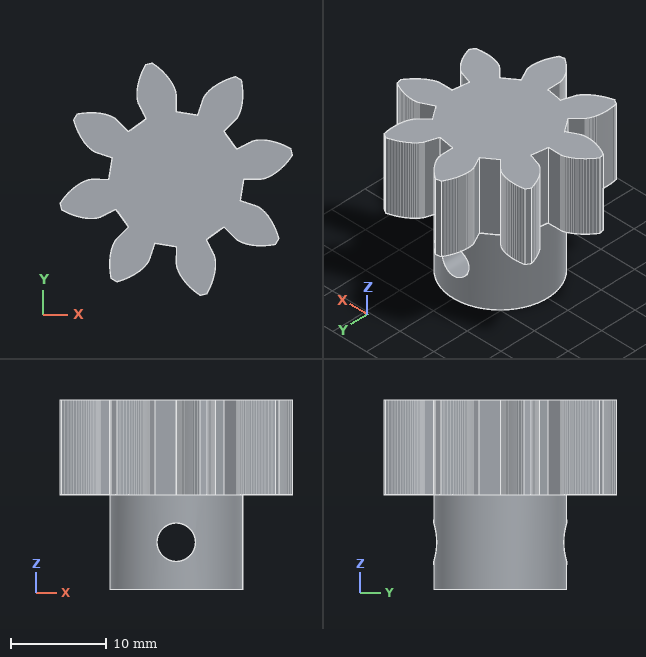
import cadquery as cq
import math

gear_size = 24.47
total_height = 20.0
hub_radius = 7.0
cross_hole_diameter = 4.01

tooth_count = 8
root_radius = 7.12
tooth_half_angle = 13.3
tip_roll_angle = 56.0
facets_per_flank = 22

tooth_pitch_angle = 360.0 / tooth_count
hub_height = total_height / 2
gear_height = total_height - hub_height
cross_hole_height = hub_height / 2

tip_roll = math.radians(tip_roll_angle)
base_radius = gear_size / 2 / (math.cos(tip_roll) + tip_roll * math.sin(tip_roll))


def polar_point(radius, angle):
    """Point at a radius and an angle in degrees."""
    return (radius * math.cos(math.radians(angle)), radius * math.sin(math.radians(angle)))


def flank_polar():
    """(radius, angle) corners of a flank that starts radially on the X axis, root to tip."""
    corners = [(root_radius, 0.0)]
    for step in range(facets_per_flank + 1):
        roll = tip_roll * step / facets_per_flank
        radius = base_radius * math.sqrt(1 + roll**2)
        corners.append((radius, math.degrees(roll - math.atan(roll))))
    return corners


def tooth_outline(start_angle):
    """Corners of one tooth, counterclockwise, with its first flank at start_angle."""
    flank = flank_polar()
    end_angle = start_angle + 2 * tooth_half_angle
    rising = [polar_point(radius, start_angle + angle) for radius, angle in flank]
    falling = [polar_point(radius, end_angle - angle) for radius, angle in reversed(flank)]
    return rising + falling


def make_gear():
    """Spur gear with straight chords at the tooth tips and across the gaps."""
    outline = []
    for tooth in range(tooth_count):
        outline += tooth_outline(tooth * tooth_pitch_angle)
    return cq.Workplane("XY").workplane(offset=hub_height).polyline(outline).close().extrude(gear_height)


def make_hub():
    """Round hub under the gear with a cross hole through it along Y."""
    hub = cq.Workplane("XY").circle(hub_radius).extrude(hub_height)
    cross_hole = (
        cq.Workplane("XZ")
        .center(0, cross_hole_height)
        .circle(cross_hole_diameter / 2)
        .extrude(hub_radius, both=True)
    )
    return hub.cut(cross_hole)


gear = make_gear()
hub = make_hub()

result = cq.Compound.makeCompound([gear.val(), hub.val()])